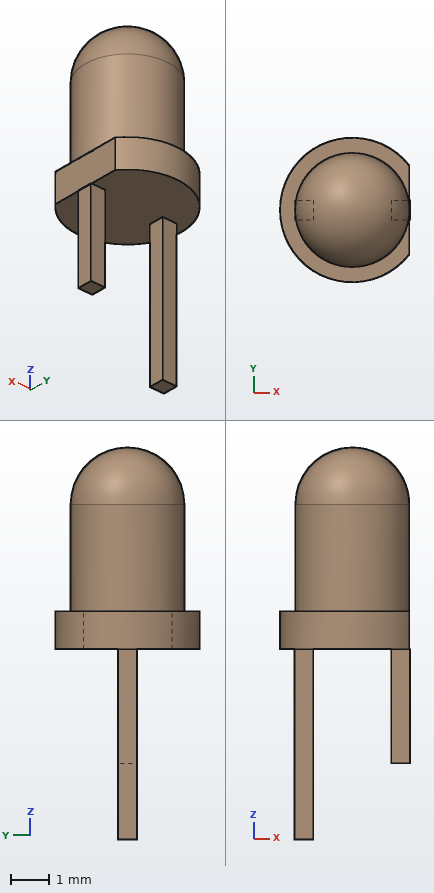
import cadquery as cq

lens_diameter = 3.0
lens_radius = lens_diameter / 2
body_height = 5.3
dome_base_z = body_height - lens_radius

flange_diameter = 3.8
flange_radius = flange_diameter / 2
flange_height = 1.0
flange_flat_x = lens_radius

lead_width = 0.5
lead_pitch = 2.54
long_lead_length = 5.0
short_lead_length = 3.0


def make_lens():
    """Revolved lens: a cylinder closed by a hemispherical dome."""
    arc_offset = lens_radius / 2**0.5
    profile = (
        cq.Workplane("XZ")
        .lineTo(lens_radius, 0)
        .lineTo(lens_radius, dome_base_z)
        .threePointArc((arc_offset, dome_base_z + arc_offset), (0, body_height))
        .close()
    )
    return profile.revolve(360, (0, 0, 0), (0, 1, 0))


def make_flange():
    """Round flange with a flat on the short-lead side."""
    disc = cq.Workplane("XY").circle(flange_radius).extrude(flange_height)
    flat_cutter = cq.Workplane("XY").box(
        flange_diameter, flange_diameter, flange_height, centered=(False, True, False)
    )
    return disc.cut(flat_cutter.translate((flange_flat_x, 0, 0)))


def make_lead(center_x, length):
    """Square lead hanging down from the flange underside."""
    return cq.Workplane("XY").center(center_x, 0).rect(lead_width, lead_width).extrude(-length)


result = (
    make_flange()
    .union(make_lens())
    .union(make_lead(-lead_pitch / 2, long_lead_length))
    .union(make_lead(lead_pitch / 2, short_lead_length))
)